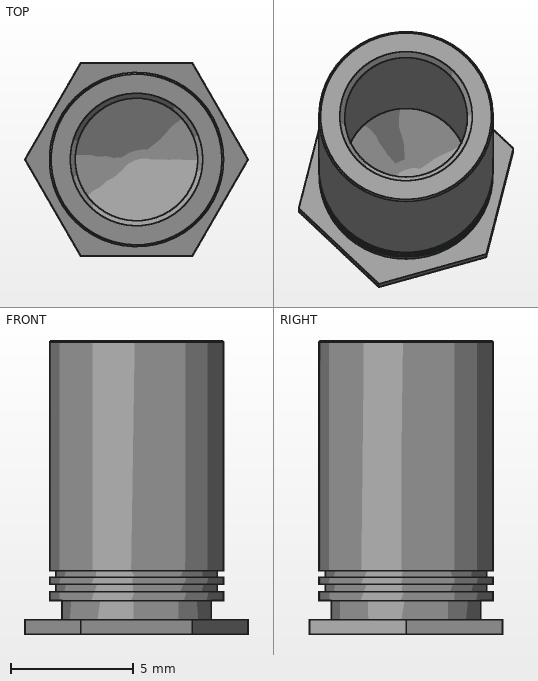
import cadquery as cq
import math

total_height = 12.0
hex_across_flats = 7.9
hex_thickness = 0.6

shank_diameter = 7.12
groove_diameter = 6.61
neck_diameter = 6.11
neck_top = 1.38
lower_groove_bottom = 1.75
lower_groove_top = 2.04
upper_groove_bottom = 2.34
upper_groove_top = 2.59
rim_chamfer = 0.07

bore_diameter = 5.0
bore_mouth_chamfer = 0.2
drill_point_angle = 118.0
bore_floor = 0.96


def disc(diameter, bottom, top):
    """Solid cylinder about Z between two heights."""
    return cq.Workplane("XY").workplane(offset=bottom).circle(diameter / 2).extrude(top - bottom)


def make_head():
    """Hexagonal head with two corners on the X axis."""
    across_corners = hex_across_flats / math.cos(math.pi / 6)
    return cq.Workplane("XY").polygon(6, across_corners).extrude(hex_thickness)


def make_shank():
    """Plain neck below a chamfered barrel with two grooves."""
    barrel = disc(shank_diameter, neck_top, total_height).faces(">Z").chamfer(rim_chamfer)
    for bottom, top in (
        (lower_groove_bottom, lower_groove_top),
        (upper_groove_bottom, upper_groove_top),
    ):
        barrel = barrel.cut(disc(shank_diameter, bottom, top).cut(disc(groove_diameter, bottom, top)))
    return barrel.union(disc(neck_diameter, hex_thickness, neck_top))


def make_bore():
    """Revolved bore: drill point, straight wall and flared mouth."""
    radius = bore_diameter / 2
    point_height = radius / math.tan(math.radians(drill_point_angle / 2))
    profile = [
        (0, bore_floor),
        (radius, bore_floor + point_height),
        (radius, total_height - bore_mouth_chamfer),
        (radius + bore_mouth_chamfer, total_height),
        (0, total_height),
    ]
    return cq.Workplane("XZ").polyline(profile).close().revolve(360, (0, 0), (0, 1))


result = make_head().union(make_shank()).cut(make_bore())